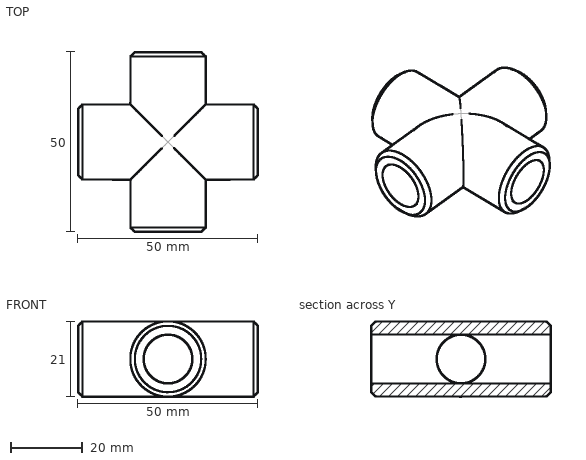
import cadquery as cq

length = 50.0
outer_diameter = 21.0
bore_diameter = 13.5
end_chamfer = 1.25


def centred_cylinder(plane, diameter):
    """Cylinder of the full tube length, centred on the origin along the plane normal."""
    return cq.Workplane(plane).circle(diameter / 2).extrude(length / 2, both=True)


def tube_body(plane, end_faces):
    """Solid outer body of one tube with both of its ends chamfered."""
    return centred_cylinder(plane, outer_diameter).faces(end_faces).edges().chamfer(end_chamfer)


body = tube_body("YZ", "|X").union(tube_body("XZ", "|Y"))

for bore_plane in ("YZ", "XZ"):
    body = body.cut(centred_cylinder(bore_plane, bore_diameter))

result = body